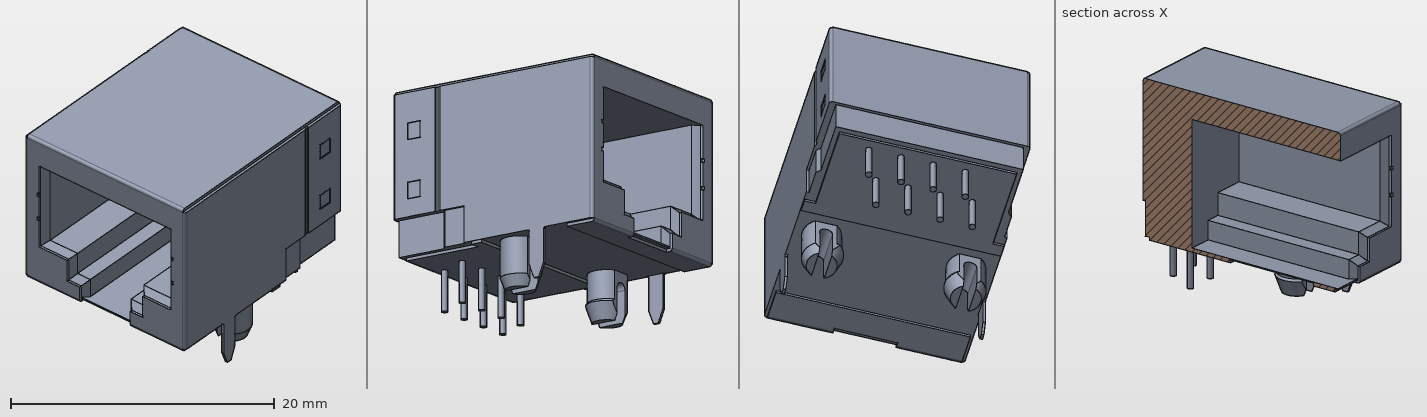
import cadquery as cq


WIDTH = 15.8
DEPTH = 18.6
HEIGHT = 12.95
LEG_LENGTH = 3.85
SHEET = 0.2
EDGE_STEP = 0.25
BEND_RADIUS = 0.25
HALF_WIDTH = WIDTH / 2
FOLD_WIDTH = WIDTH - 2 * EDGE_STEP

FRONT_LIP_DEPTH = 2.57
LIP_RELIEF_DEPTH = 0.55
PAD_WIDTH = 13.95
PAD_FRONT = 10.38
PAD_REAR = 18.0
PAD_EAR_DEPTH = 0.93
PAD_EAR_INSET = 0.04

FLAP_BOTTOM = 2.9
FLAP_EDGE = 14.65
GROOVE_WIDTH = 0.2
GROOVE_DEPTH = 0.1
GROOVE_SLOPE = 0.22
CUTOUT_FRONT = 12.0
NECK_START = 13.9
NECK_END = 14.23
NECK_INSET = 0.52
WINDOW_WIDTH = 1.19
WINDOW_HEIGHT = 1.3
WINDOW_Y = 16.65
WINDOW_HEIGHTS = (4.98, 9.65)
WINDOW_DEPTH = 0.1

CAVITY_TOP = 10.62
CAVITY_FLOOR = 0.13
CAVITY_END = 13.95
TAPER_END = 0.69
MOUTH_HALF_WIDTHS = (6.5, 3.72, 2.5)
MOUTH_LEDGES = (3.1, 1.17)
INNER_HALF_WIDTHS = (5.95, 3.25, 2.0)
INNER_LEDGES = (3.59, 1.73)
MOUTH_RADIUS = 0.11
NOTCH_HEIGHTS = (5.67, 7.87)
NOTCH_HEIGHT = 0.26
NOTCH_WIDTH = 0.19

PEG_X = 5.67
PEG_Y = 8.31
PEG_RADIUS = 1.53
PEG_TIP_RADIUS = 1.17
PEG_THICKNESS = 2.55
PEG_TAPER_TOP = 2.94
BARB_RADIUS = 1.67
BARB_TOP = 2.29
BARB_EDGE = 2.47
PEG_SLOT_WIDTH = 1.0
PEG_SLOT_TOP = 0.8

PIN_COUNT = 8
PIN_DIAMETER = 0.5
PIN_PITCH = 1.26
PIN_ROWS = (14.6, 17.15)
PIN_LENGTH = 3.5

LEG_Y = 5.25
LEG_WIDTH = 1.32
LEG_TIP_WIDTH = 0.45
LEG_TAPER_TOP = 2.79
LEG_ROOT_CHAMFER = 0.11


def block(x0, x1, y0, y1, z0, z1):
    """Box between two opposite corners."""
    return cq.Workplane("XY").box(x1 - x0, y1 - y0, z1 - z0, centered=False).translate((x0, y0, z0))


def wide_block(width, y0, y1, z0, z1):
    """Box centred on x = 0."""
    return block(-width / 2, width / 2, y0, y1, z0, z1)


def both_sides(shape):
    """A left-hand shape together with its mirror image."""
    return shape.union(shape.mirror("YZ"))


def make_housing():
    """Shielded body with rounded bends, stepped top edges and the bottom front lip."""
    walls = wide_block(WIDTH, 0, DEPTH, 0, HEIGHT - EDGE_STEP).edges("|Z").fillet(BEND_RADIUS)
    folds = wide_block(FOLD_WIDTH, 0, DEPTH, 0, HEIGHT).edges("|X and >Z").fillet(BEND_RADIUS)
    lip = wide_block(FOLD_WIDTH, 0, FRONT_LIP_DEPTH, -EDGE_STEP, HEIGHT / 2)
    lip = lip.edges("|X and <Z and <Y").fillet(BEND_RADIUS)
    return walls.union(folds).union(lip)


def make_pad():
    """Thin standoff pad under the rear, with wide ears at its front end."""
    pad = wide_block(PAD_WIDTH, PAD_FRONT, PAD_REAR, -EDGE_STEP, 0)
    ears = wide_block(WIDTH - 2 * PAD_EAR_INSET, PAD_FRONT, PAD_FRONT + PAD_EAR_DEPTH, -EDGE_STEP, 0)
    return pad.union(ears)


def side_cuts():
    """Left-hand flap groove, flap windows and the exposed plastic below the flap."""
    outer = -HALF_WIDTH
    groove_front = FLAP_EDGE - GROOVE_WIDTH
    groove = (
        cq.Workplane("XY", origin=(0, 0, FLAP_BOTTOM))
        .polyline([
            (outer, FLAP_EDGE),
            (outer + GROOVE_DEPTH, FLAP_EDGE),
            (outer + GROOVE_DEPTH, groove_front),
            (outer, groove_front - GROOVE_SLOPE),
        ])
        .close()
        .extrude(HEIGHT - EDGE_STEP - FLAP_BOTTOM)
    )
    plastic_x = outer + SHEET
    neck_x = outer + NECK_INSET
    exposed = (
        cq.Workplane("XY")
        .polyline([
            (outer, CUTOUT_FRONT),
            (plastic_x, CUTOUT_FRONT),
            (plastic_x, NECK_START),
            (neck_x, NECK_END),
            (neck_x, DEPTH),
            (outer, DEPTH),
        ])
        .close()
        .extrude(FLAP_BOTTOM)
    )
    cuts = groove.union(exposed)
    for z in WINDOW_HEIGHTS:
        window = cq.Workplane("XY").box(2 * WINDOW_DEPTH, WINDOW_WIDTH, WINDOW_HEIGHT)
        cuts = cuts.union(window.translate((outer, WINDOW_Y, z)))
    return cuts


def plug_outline(y, half_widths, ledges, bottom):
    """Closed stepped plug outline in the plane at the given y."""
    wide, middle, narrow = half_widths
    upper, lower = ledges
    right = [
        (wide, CAVITY_TOP),
        (wide, upper),
        (middle, upper),
        (middle, lower),
        (narrow, lower),
        (narrow, bottom),
    ]
    left = [(-x, z) for x, z in reversed(right)]
    points = [cq.Vector(x, y, z) for x, z in right + left]
    return cq.Wire.makePolygon(points, close=True)


def cavity_cut():
    """Opening through the front sheet and lip, tapered lead-in and the plug cavity behind it."""
    mouth = cq.Workplane(cq.Solid.extrudeLinear(
        plug_outline(0, MOUTH_HALF_WIDTHS, MOUTH_LEDGES, -EDGE_STEP), [], cq.Vector(0, SHEET, 0)))
    mouth = mouth.edges("|Y and (>X or <X)").fillet(MOUTH_RADIUS)
    lead_in = cq.Workplane(cq.Solid.makeLoft([
        plug_outline(SHEET, MOUTH_HALF_WIDTHS, MOUTH_LEDGES, CAVITY_FLOOR),
        plug_outline(TAPER_END, INNER_HALF_WIDTHS, INNER_LEDGES, CAVITY_FLOOR),
    ], True))
    cavity = cq.Workplane(cq.Solid.extrudeLinear(
        plug_outline(TAPER_END, INNER_HALF_WIDTHS, INNER_LEDGES, CAVITY_FLOOR),
        [],
        cq.Vector(0, CAVITY_END - TAPER_END, 0),
    ))
    lip_relief = wide_block(2 * MOUTH_HALF_WIDTHS[-1], 0, LIP_RELIEF_DEPTH, -EDGE_STEP, 0)
    cut = mouth.union(lead_in).union(cavity).union(lip_relief)
    notch_span = 2 * (MOUTH_HALF_WIDTHS[0] + NOTCH_WIDTH)
    for z in NOTCH_HEIGHTS:
        cut = cut.union(wide_block(notch_span, 0, SHEET, z - NOTCH_HEIGHT / 2, z + NOTCH_HEIGHT / 2))
    return cut


def make_peg():
    """Left-hand split peg: round with flats front and rear, barbed on its inner half."""
    top = EDGE_STEP
    plain = (
        cq.Workplane("XZ")
        .polyline([
            (0, top),
            (PEG_RADIUS, top),
            (PEG_RADIUS, -PEG_TAPER_TOP),
            (PEG_TIP_RADIUS, -LEG_LENGTH),
            (0, -LEG_LENGTH),
        ])
        .close()
        .revolve(360, (0, 0), (0, 1))
    )
    barbed = (
        cq.Workplane("XZ")
        .polyline([
            (0, top),
            (PEG_RADIUS, top),
            (PEG_RADIUS, -BARB_TOP),
            (BARB_RADIUS, -BARB_EDGE),
            (PEG_TIP_RADIUS, -LEG_LENGTH),
            (0, -LEG_LENGTH),
        ])
        .close()
        .revolve(360, (0, 0), (0, 1))
    )
    flat = PEG_THICKNESS / 2
    outer_half = plain.intersect(block(-BARB_RADIUS, 0, -flat, flat, -LEG_LENGTH, top))
    inner_half = barbed.intersect(block(0, BARB_RADIUS, -flat, flat, -LEG_LENGTH, top))
    arch_center = -PEG_SLOT_TOP - PEG_SLOT_WIDTH / 2
    slot = wide_block(PEG_SLOT_WIDTH, -PEG_RADIUS, PEG_RADIUS, -LEG_LENGTH, arch_center)
    arch = (
        cq.Workplane("XZ", origin=(0, PEG_RADIUS, arch_center))
        .circle(PEG_SLOT_WIDTH / 2)
        .extrude(2 * PEG_RADIUS)
    )
    peg = outer_half.union(inner_half).cut(slot).cut(arch)
    return peg.translate((-PEG_X, PEG_Y, 0))


def make_leg():
    """Left-hand shield leg with a pointed tip and chamfered root."""
    half = LEG_WIDTH / 2
    tip = LEG_TIP_WIDTH / 2
    root = half + LEG_ROOT_CHAMFER
    right = [
        (root, SHEET),
        (root, 0),
        (half, -LEG_ROOT_CHAMFER),
        (half, -LEG_TAPER_TOP),
        (tip, -LEG_LENGTH),
    ]
    left = [(-y, z) for y, z in reversed(right)]
    leg = cq.Workplane("YZ").polyline(right + left).close().extrude(SHEET)
    return leg.translate((-HALF_WIDTH, LEG_Y, 0))


def make_pins():
    """Two staggered rows of round contact pins."""
    points = []
    for index in range(PIN_COUNT):
        x = (index - (PIN_COUNT - 1) / 2) * PIN_PITCH
        points.append((x, PIN_ROWS[index % len(PIN_ROWS)]))
    return (
        cq.Workplane("XY", origin=(0, 0, -PIN_LENGTH))
        .pushPoints(points)
        .circle(PIN_DIAMETER / 2)
        .extrude(PIN_LENGTH)
    )


rear_cut = wide_block(WIDTH, DEPTH - SHEET, DEPTH, 0, FLAP_BOTTOM)

result = make_housing().cut(both_sides(side_cuts())).cut(rear_cut)
result = result.cut(cavity_cut())
result = result.union(make_pad()).union(make_pins())
result = result.union(both_sides(make_peg())).union(both_sides(make_leg()))